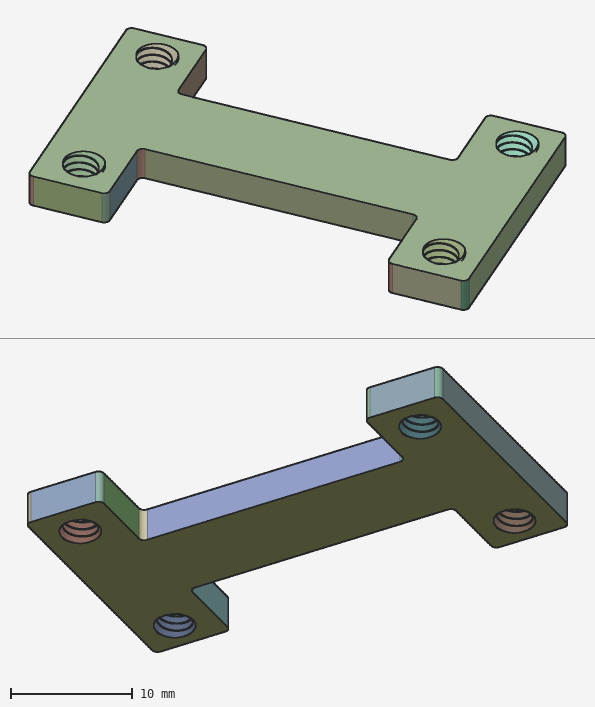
import cadquery as cq
import math

length = 39.0
width = 22.0
thickness = 3.0
foot_length = 7.1
web_width = 8.1
corner_radius = 0.5

hole_spacing_x = 31.98
hole_spacing_y = 16.0
bore_radius = 1.5
thread_root_radius = 2.03
thread_pitch = 0.7
groove_mouth = 0.65
mouth_overlap = 0.05
start_angle = 40.0


def make_plate():
    notch_length = length - 2 * foot_length
    notch_depth = (width - web_width) / 2
    notch_center_y = (web_width + notch_depth) / 2
    plate = cq.Workplane("XY").box(length, width, thickness, centered=(True, True, False))
    for side in (-1, 1):
        notch = (
            cq.Workplane("XY")
            .center(0, side * notch_center_y)
            .box(notch_length, notch_depth, thickness, centered=(True, True, False))
        )
        plate = plate.cut(notch)
    return plate.edges("|Z").fillet(corner_radius)


def make_tapped_hole():
    """Bore with a sharp V groove winding around it, running past both faces."""
    bore = cq.Workplane("XY").circle(bore_radius).extrude(thickness)
    mouth_radius = bore_radius - mouth_overlap
    turns_in_plate = math.ceil(thickness / thread_pitch)
    helix_bottom = thickness - (turns_in_plate + 1) * thread_pitch
    helix_height = (turns_in_plate + 2) * thread_pitch
    helix = cq.Wire.makeHelix(thread_pitch, helix_height, mouth_radius)
    groove = (
        cq.Workplane("XZ")
        .moveTo(mouth_radius, -groove_mouth / 2)
        .lineTo(thread_root_radius, 0)
        .lineTo(mouth_radius, groove_mouth / 2)
        .close()
        .sweep(cq.Workplane(obj=helix), isFrenet=True)
        .translate((0, 0, helix_bottom))
        .rotate((0, 0, 0), (0, 0, 1), start_angle)
    )
    slab_size = 4 * thread_root_radius
    slab = cq.Workplane("XY").box(slab_size, slab_size, thickness, centered=(True, True, False))
    return slab.intersect(groove).union(bore)


result = make_plate()
tapped_hole = make_tapped_hole()
hole_x = hole_spacing_x / 2
hole_y = hole_spacing_y / 2
for x in (-hole_x, hole_x):
    for y in (-hole_y, hole_y):
        result = result.cut(tapped_hole.translate((x, y, 0)))